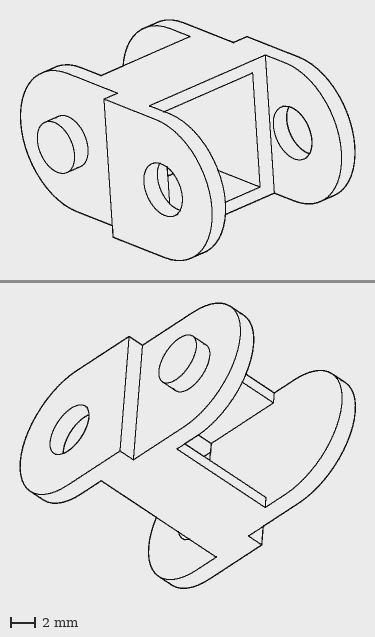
import cadquery as cq
import math

overall_x = 24.75
link_tilt = 5.0
link_height = 12.48
end_radius = link_height / 2
end_spacing = (overall_x - link_height) / math.cos(math.radians(link_tilt))
link_length = end_spacing + link_height

overall_width = 16.0
plate_thickness = 1.5
wide_outer_y = overall_width / 2
narrow_outer_y = wide_outer_y - plate_thickness
narrow_inner_y = narrow_outer_y - plate_thickness
wide_start = -0.12

bar_half_length = 3.75
bar_thickness = 1.1

pitch = 12.97
pin_diameter = 4.5
hole_diameter = 4.65


def box_between(x_start, x_end, y_start, y_end, z_start, z_end):
    """Box spanning the given limits along each axis."""
    size = (x_end - x_start, y_end - y_start, z_end - z_start)
    return cq.Workplane("XY").box(*size, centered=False).translate((x_start, y_start, z_start))


def cylinder_along_y(diameter, x, y_start, y_end):
    """Round bar parallel to Y, centred on the long axis of the link."""
    return (
        cq.Workplane("XZ", origin=(x, y_end, 0))
        .circle(diameter / 2)
        .extrude(y_end - y_start)
    )


def side_plate(x_start, x_end, y_start, y_end):
    """Slice of the round-ended link outline between two square cuts."""
    outline = (
        cq.Workplane("XZ", origin=(0, y_end, 0))
        .slot2D(link_length, link_height)
        .extrude(y_end - y_start)
    )
    limits = box_between(x_start, x_end, y_start, y_end, -end_radius, end_radius)
    return outline.intersect(limits)


def plate_pair_half():
    """Narrow plate with its pin and wide plate with its hole, on the +Y side."""
    narrow = side_plate(-link_length / 2, bar_half_length, narrow_inner_y, narrow_outer_y)
    wide = side_plate(wide_start, link_length / 2, narrow_outer_y, wide_outer_y)
    pin = cylinder_along_y(pin_diameter, -pitch / 2, narrow_outer_y, wide_outer_y)
    hole = cylinder_along_y(hole_diameter, pitch / 2, narrow_outer_y, wide_outer_y)
    return narrow.union(wide.cut(hole)).union(pin)


def cross_bar(z_start):
    """Flat bar bridging the two narrow plates."""
    return box_between(
        -bar_half_length, bar_half_length,
        -narrow_inner_y, narrow_inner_y,
        z_start, z_start + bar_thickness,
    )


side = plate_pair_half()
link = side.union(side.mirror("XZ"))
for bar_bottom in (-end_radius, end_radius - bar_thickness):
    link = link.union(cross_bar(bar_bottom))

result = link.rotate((0, 0, 0), (0, 1, 0), -link_tilt)